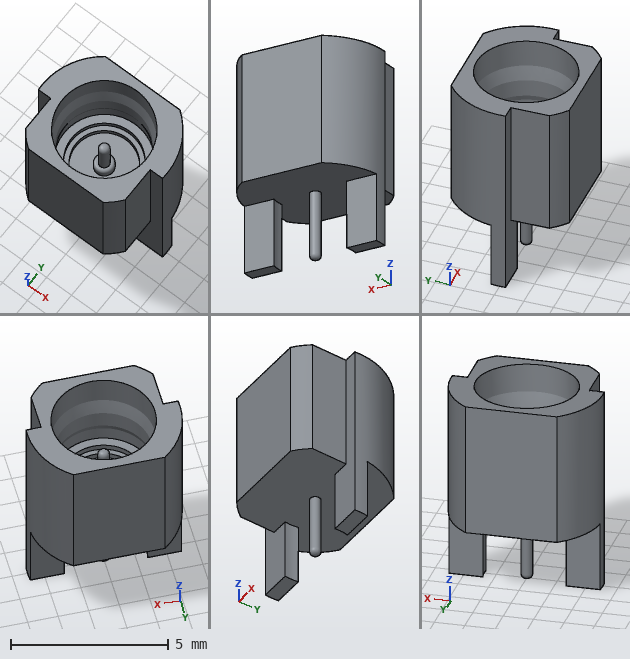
import cadquery as cq
import math

body_height = 4.4
leg_length = 2.3

body_radius = 2.5
flat_distance = 2.0
shoulder_y = -0.2

leg_thickness = 0.5
leg_inner_radius = 1.4

mouth_diameter = 3.35
mouth_depth = 0.96
bore_diameter = 3.1
taper_end_depth = 1.45
bore_end_depth = 2.05
relief_diameter = 3.2
relief_taper_end_depth = 2.24
relief_depth = 2.7
upper_step_diameter = 2.6
upper_step_depth = 2.9
floor_diameter = 2.25
floor_depth = 3.1

pin_diameter = 0.38
pin_tip_depth = 1.5
pin_end_radius = 0.15
collar_diameter = 0.7
collar_height = 0.3
collar_edge_radius = 0.1


def make_body():
    """Prism from leg tips to top face: flat-sided, full width behind the shoulders."""
    corner = math.sqrt(body_radius**2 - flat_distance**2)
    shoulder_x = math.sqrt(body_radius**2 - shoulder_y**2)
    diagonal = body_radius / math.sqrt(2)
    return (
        cq.Workplane("XY", origin=(0, 0, -leg_length))
        .moveTo(-corner, -flat_distance)
        .lineTo(corner, -flat_distance)
        .threePointArc((diagonal, -diagonal), (flat_distance, -corner))
        .lineTo(flat_distance, shoulder_y)
        .lineTo(shoulder_x, shoulder_y)
        .threePointArc((diagonal, diagonal), (corner, flat_distance))
        .lineTo(-corner, flat_distance)
        .threePointArc((-diagonal, diagonal), (-shoulder_x, shoulder_y))
        .lineTo(-flat_distance, shoulder_y)
        .lineTo(-flat_distance, -corner)
        .threePointArc((-diagonal, -diagonal), (-corner, -flat_distance))
        .close()
        .extrude(body_height + leg_length)
    )


def make_leg_clearance():
    """Everything below the underside except the two legs, which continue the body wall."""
    plan_size = 2 * body_radius + leg_thickness
    below = cq.Workplane("XY").rect(plan_size, plan_size).extrude(-leg_length)
    leg_band = (
        cq.Workplane("XY")
        .center(0, shoulder_y + leg_thickness / 2)
        .rect(plan_size, leg_thickness)
        .extrude(-leg_length)
    )
    gap = cq.Workplane("XY").circle(leg_inner_radius).extrude(-leg_length)
    return below.cut(leg_band.cut(gap))


def make_socket():
    """Revolved cavity: straight mouth, taper, bore, undercut relief and a stepped floor."""
    steps = [
        (mouth_diameter, 0),
        (mouth_diameter, mouth_depth),
        (bore_diameter, taper_end_depth),
        (bore_diameter, bore_end_depth),
        (relief_diameter, relief_taper_end_depth),
        (relief_diameter, relief_depth),
        (upper_step_diameter, relief_depth),
        (upper_step_diameter, upper_step_depth),
        (floor_diameter, upper_step_depth),
        (floor_diameter, floor_depth),
    ]
    wall = [(diameter / 2, body_height - depth) for diameter, depth in steps]
    return (
        cq.Workplane("XZ")
        .moveTo(0, body_height)
        .polyline(wall, includeCurrent=True)
        .lineTo(0, body_height - floor_depth)
        .close()
        .revolve(360, (0, 0), (0, 1))
    )


def make_contact():
    """Pin rounded at both ends, with a rounded collar standing on the socket floor."""
    pin_length = body_height - pin_tip_depth + leg_length
    pin = (
        cq.Workplane("XY", origin=(0, 0, -leg_length))
        .circle(pin_diameter / 2)
        .extrude(pin_length)
        .faces("<Z or >Z")
        .edges()
        .fillet(pin_end_radius)
    )
    collar = (
        cq.Workplane("XY", origin=(0, 0, body_height - floor_depth))
        .circle(collar_diameter / 2)
        .extrude(collar_height)
        .faces(">Z")
        .edges()
        .fillet(collar_edge_radius)
    )
    return pin.union(collar)


result = make_body().cut(make_leg_clearance()).cut(make_socket()).union(make_contact())